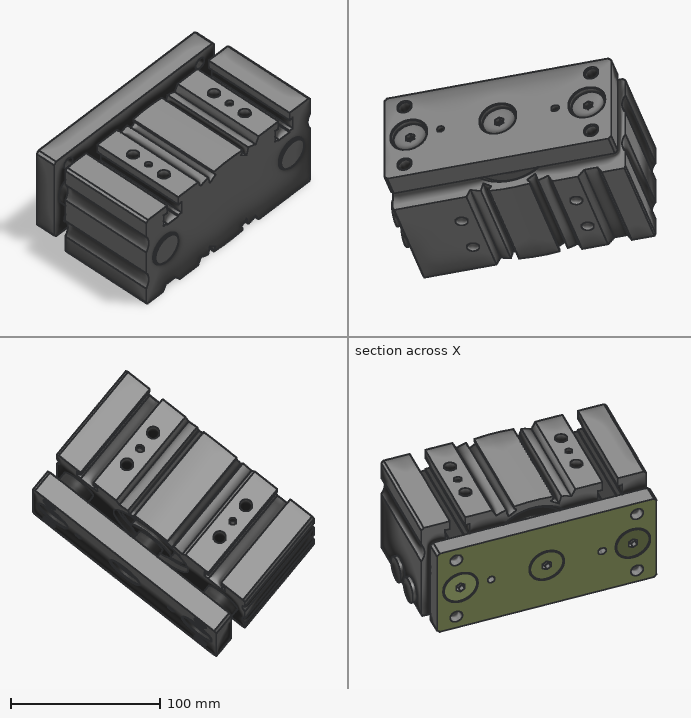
import cadquery as cq
import math


plate_thickness = 16.0
gap = 12.0
housing_length = 74.0
rear_protrusion = 1.5
housing_front = plate_thickness + gap
housing_rear = housing_front + housing_length

plate_width = 158.0
plate_height = 70.0
plate_chamfer = 2.0
corner_hole_pitch_y = 130.0
corner_hole_pitch_z = 50.0
corner_hole_diameter = 8.5
corner_hole_chamfer = 0.8
pin_spacing = 79.9
pin_diameter = 5.0
pin_slot_length = 5.6
pin_depth = 9.9
rod_hole_chamfer = 0.58

guide_spacing = 124.0
guide_diameter = 24.9
tip_diameter = 24.0
tip_chamfer = 0.7
tip_length = rear_protrusion
piston_rod_diameter = 20.1
piston_head_length = 8.2
rod_recess = 3.1
hex_across_flats = 6.0
hex_depth = 5.0

housing_width = 162.0
housing_height = 78.0
half_width = housing_width / 2
half_height = housing_height / 2
top_chamfer = 1.8
bottom_chamfer_y = 0.8
bottom_chamfer_z = 1.8

channel_edge_y = 29.9
channel_foot = (27.0, 33.5)
shoulder_crest = (23.5, 35.0)
shoulder_edge = (19.8, 36.0)
channel_bottom = (18.2, 29.9)
undercut_root = (12.5, 33.7)
lip_corner = (14.2, 36.0)
crown_edge = (14.2, 37.5)
crown_height = 38.3

slot_offset = 55.0
slot_mouth_width = 11.0
slot_lip = 7.0
slot_head_width = 17.7
slot_floor_depth = 16.8
slot_groove_depth = 1.3

flare_mouth = (-64.5, -47.8)
flare_floor = (-61.5, -52.3)
flare_depth = 5.0

groove_height = 17.0
groove_half_width = 7.3
groove_depth = 2.5
groove_radius = (groove_half_width**2 + groove_depth**2) / (2 * groove_depth)

mount_row_spacing = 79.9
mount_center_x = housing_front + 38.0
mount_pitch = 28.0
mount_diameter = 8.4

port_diameter = 18.0
port_length = 3.0
port_height = -28.0
port_offsets = (16.5, 39.0)

recess_radius = 32.2
recess_depth = 4.0
cover_radius = 28.0
cover_depth = 8.2
cover_thickness = 9.9
cover_face = housing_front + cover_depth
cover_back = cover_face + cover_thickness
boss_radius = 17.2
boss_fillet = 1.3


def cylinder_x(diameter, start, end, y=0.0):
    return cq.Workplane("YZ").workplane(offset=start).center(y, 0).circle(diameter / 2).extrude(end - start)


def housing_prism(outline):
    """Extrude a closed Y-Z outline over the length of the housing."""
    return outline.extrude(housing_length)


def section():
    return cq.Workplane("YZ").workplane(offset=housing_front)


def pin_hole(workplane):
    return workplane.circle(pin_diameter / 2).extrude(-pin_depth)


def pin_slot(workplane, angle):
    return workplane.slot2D(pin_slot_length, pin_diameter, angle).extrude(-pin_depth)


def hex_socket(y):
    circumscribed = hex_across_flats / math.cos(math.pi / 6)
    return (
        cq.Workplane("YZ").workplane(offset=rod_recess).center(y, 0)
        .transformed(rotate=(0, 0, 90))
        .polygon(6, circumscribed)
        .extrude(hex_depth)
    )


def housing_block():
    return housing_prism(
        section()
        .moveTo(-half_width + top_chamfer, half_height)
        .lineTo(half_width - top_chamfer, half_height)
        .lineTo(half_width, half_height - top_chamfer)
        .lineTo(half_width, -half_height + bottom_chamfer_z)
        .lineTo(half_width - bottom_chamfer_y, -half_height)
        .lineTo(-half_width + bottom_chamfer_y, -half_height)
        .lineTo(-half_width, -half_height + bottom_chamfer_z)
        .lineTo(-half_width, half_height - top_chamfer)
        .close()
    )


def mirrored(point):
    return (-point[0], point[1])


def crown_channels():
    """Material removed from the top around the crowned middle and its two undercut channels."""
    return housing_prism(
        section()
        .moveTo(channel_edge_y, half_height)
        .lineTo(*channel_foot)
        .threePointArc(shoulder_crest, shoulder_edge)
        .lineTo(*channel_bottom)
        .lineTo(*undercut_root)
        .lineTo(*lip_corner)
        .lineTo(*crown_edge)
        .threePointArc((0, crown_height), mirrored(crown_edge))
        .lineTo(*mirrored(lip_corner))
        .lineTo(*mirrored(undercut_root))
        .lineTo(*mirrored(channel_bottom))
        .lineTo(*mirrored(shoulder_edge))
        .threePointArc(mirrored(shoulder_crest), mirrored(channel_foot))
        .lineTo(-channel_edge_y, half_height)
        .close()
    )


def slot_layer(y, width, top_depth, bottom_depth):
    height = bottom_depth - top_depth
    return housing_prism(section().center(y, half_height - top_depth - height / 2).rect(width, height))


def t_slot(y):
    groove_floor = slot_floor_depth + slot_groove_depth
    mouth_and_groove = slot_layer(y, slot_mouth_width, 0, groove_floor)
    head = slot_layer(y, slot_head_width, slot_lip, slot_floor_depth)
    return mouth_and_groove.union(head)


def flared_slot():
    return housing_prism(
        section()
        .moveTo(flare_mouth[0], -half_height)
        .lineTo(flare_floor[0], -half_height + flare_depth)
        .lineTo(flare_floor[1], -half_height + flare_depth)
        .lineTo(flare_mouth[1], -half_height)
        .close()
    )


def side_groove(side, z):
    center_y = side * (half_width + groove_radius - groove_depth)
    return housing_prism(section().center(center_y, z).circle(groove_radius))


def mount_holes():
    row_y = mount_row_spacing / 2
    top = cq.Workplane("XY").workplane(offset=half_height)
    through = (
        top.center(mount_center_x, 0)
        .rect(mount_pitch, mount_row_spacing, forConstruction=True)
        .vertices()
        .circle(mount_diameter / 2)
        .extrude(-housing_height)
    )
    hole = pin_hole(top.center(mount_center_x, -row_y))
    slot = pin_slot(top.center(mount_center_x, row_y), 90)
    return through.union(hole).union(slot)


def port_boss(x):
    return (
        cq.Workplane("XZ", origin=(x, half_width, port_height))
        .circle(port_diameter / 2)
        .extrude(-port_length)
    )


def cover_seat():
    """Bore for the rod cover with a wider recess at the front face."""
    recess = cylinder_x(2 * recess_radius, housing_front, housing_front + recess_depth)
    return recess.union(cylinder_x(2 * cover_radius, housing_front, cover_back))


def make_housing():
    channels = crown_channels()
    body = housing_block().cut(channels).cut(channels.mirror("XY"))
    for side in (-1, 1):
        body = body.cut(t_slot(side * slot_offset))
        body = body.cut(side_groove(side, groove_height))
        body = body.cut(cylinder_x(guide_diameter, housing_front, housing_rear, side * guide_spacing / 2))
    body = body.cut(side_groove(-1, -groove_height))
    body = body.cut(flared_slot())
    body = body.cut(mount_holes())
    body = body.cut(cover_seat())
    for offset in port_offsets:
        body = body.union(port_boss(housing_front + offset))
    return body


def chamfered_hole(diameter, chamfer, y, z=0.0):
    """Cutter for a hole through the plate with a chamfered outer rim."""
    radius = diameter / 2
    hole = cq.Workplane("YZ").center(y, z).circle(radius).extrude(plate_thickness)
    rim = cq.Workplane(
        cq.Solid.makeCone(
            radius + chamfer, radius, chamfer, pnt=cq.Vector(0, y, z), dir=cq.Vector(1, 0, 0)
        )
    )
    return hole.union(rim)


def make_plate():
    body = (
        cq.Workplane("YZ").rect(plate_width, plate_height).extrude(plate_thickness)
        .edges("|X").chamfer(plate_chamfer)
    )
    for y in (-corner_hole_pitch_y / 2, corner_hole_pitch_y / 2):
        for z in (-corner_hole_pitch_z / 2, corner_hole_pitch_z / 2):
            body = body.cut(chamfered_hole(corner_hole_diameter, corner_hole_chamfer, y, z))
    for y in (-guide_spacing / 2, 0, guide_spacing / 2):
        body = body.cut(chamfered_hole(guide_diameter, rod_hole_chamfer, y))
    face = cq.Workplane("ZY")
    body = body.cut(pin_hole(face.center(0, pin_spacing / 2)))
    body = body.cut(pin_slot(face.center(0, -pin_spacing / 2), 90))
    step = cylinder_x(guide_diameter, rod_recess + piston_head_length, plate_thickness)
    shank = cylinder_x(piston_rod_diameter, rod_recess + piston_head_length, plate_thickness)
    return body.union(step.cut(shank))


def rod_tip(start, end_face, y=0.0):
    """Reduced, chamfered tip of a rod; end_face selects the outer end."""
    return cylinder_x(tip_diameter, start, start + tip_length, y).faces(end_face).chamfer(tip_chamfer)


def make_guide_rod(y):
    shaft = cylinder_x(guide_diameter, rod_recess + tip_length, housing_rear, y)
    front_tip = rod_tip(rod_recess, "<X", y)
    rear_tip = rod_tip(housing_rear, ">X", y)
    return shaft.union(front_tip).union(rear_tip).cut(hex_socket(y))


def make_piston_rod():
    head_end = rod_recess + piston_head_length
    head = cylinder_x(guide_diameter, rod_recess + tip_length, head_end)
    shank = cylinder_x(piston_rod_diameter, head_end, cover_back)
    return head.union(rod_tip(rod_recess, "<X")).union(shank).cut(hex_socket(0))


def make_rod_cover():
    """Disc with a central boss that reaches the housing's front face."""
    profile = (
        cq.Workplane("XY")
        .moveTo(housing_front, 0)
        .lineTo(housing_front, boss_radius)
        .lineTo(cover_face - boss_fillet, boss_radius)
        .radiusArc((cover_face, boss_radius + boss_fillet), -boss_fillet)
        .lineTo(cover_face, cover_radius)
        .lineTo(cover_back, cover_radius)
        .lineTo(cover_back, 0)
        .close()
    )
    cover = profile.revolve(360, (0, 0, 0), (1, 0, 0))
    return cover.cut(cylinder_x(piston_rod_diameter, housing_front, cover_back))


housing = make_housing()
plate = make_plate()
guide_rods = [make_guide_rod(y) for y in (-guide_spacing / 2, guide_spacing / 2)]
piston_rod = make_piston_rod()
rod_cover = make_rod_cover()

result = cq.Compound.makeCompound(
    [housing.val(), plate.val(), *[rod.val() for rod in guide_rods], piston_rod.val(), rod_cover.val()]
)